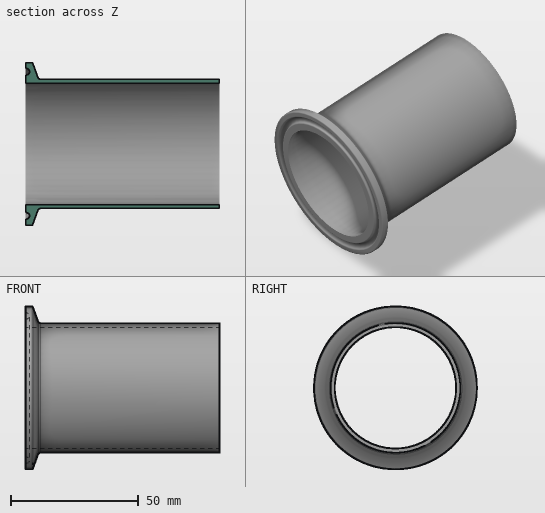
import cadquery as cq
import math


length = 76.2
tube_radius = 50.8 / 2
bore_radius = 47.5 / 2
tube_end_fillet = 0.15

flange_radius = 63.9 / 2
rim_width = 2.9
cone_angle = math.radians(20)
cone_end_x = rim_width + (flange_radius - tube_radius) * math.tan(cone_angle)
front_fillet = 0.45
rim_back_fillet = 0.5
neck_fillet = 0.85

groove_mid_radius = 28.3
groove_depth = 1.6
groove_bottom_radius = 1.15
groove_wall_angle = math.radians(20)


def revolve_about_x(outline):
    """Close an outline in the XY plane and turn it fully about the X axis."""
    return outline.close().revolve(360, (0, 0, 0), (1, 0, 0))


def circle_at(x):
    """Selector for the circular edge around the X axis whose centre lies at x."""
    return cq.NearestToPointSelector((x, 0, 0))


def make_body():
    """Flange and tube, still solid inside, with the outer edges behind the face rounded."""
    body = revolve_about_x(
        cq.Workplane("XY")
        .lineTo(0, flange_radius)
        .lineTo(rim_width, flange_radius)
        .lineTo(cone_end_x, tube_radius)
        .lineTo(length, tube_radius)
        .lineTo(length, 0)
    )
    body = body.edges(circle_at(rim_width)).fillet(rim_back_fillet)
    body = body.edges(circle_at(cone_end_x)).fillet(neck_fillet)
    return body.faces(">X").edges().fillet(tube_end_fillet)


def make_groove_cutter():
    """Ring that cuts the gasket groove; its walls run smoothly into the round bottom."""
    bottom_centre_x = groove_depth - groove_bottom_radius
    wall_end_x = bottom_centre_x + groove_bottom_radius * math.sin(groove_wall_angle)
    bottom_half_width = groove_bottom_radius * math.cos(groove_wall_angle)
    mouth_half_width = bottom_half_width + wall_end_x * math.tan(groove_wall_angle)
    return revolve_about_x(
        cq.Workplane("XY")
        .moveTo(0, groove_mid_radius - mouth_half_width)
        .lineTo(wall_end_x, groove_mid_radius - bottom_half_width)
        .threePointArc(
            (groove_depth, groove_mid_radius),
            (wall_end_x, groove_mid_radius + bottom_half_width),
        )
        .lineTo(0, groove_mid_radius + mouth_half_width)
    )


body = make_body().cut(make_groove_cutter())

body = body.faces("<X").edges().fillet(front_fillet)

bore = cq.Workplane("YZ").circle(bore_radius).extrude(length)
result = body.cut(bore)